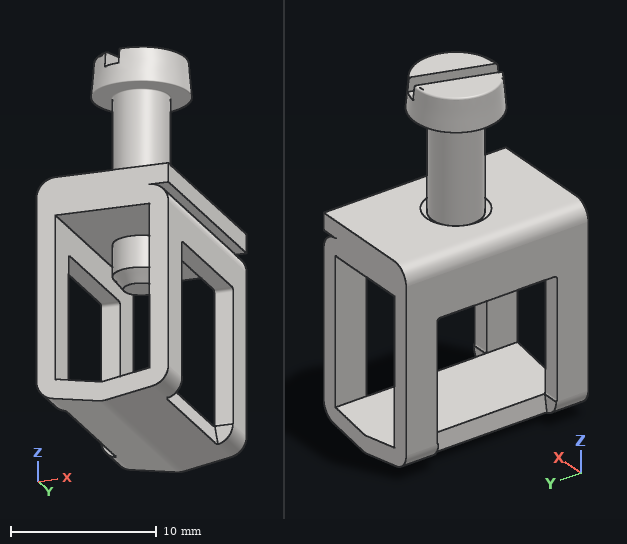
import cadquery as cq
import math

overall_height = 27.4

clamp_width = 9.7
clamp_length = 15.5
strip = 1.4
wall_height = 12.0
floor_slope = 10.0
crease_width = 0.08
window_width = 10.2
window_radius = 0.27
window_roof_above_wall_foot = 9.98
corner_rise = 0.069

shank_diameter = 4.0
shank_length = 13.98
tip_diameter = 2.52
tip_length = 0.9
head_diameter = 7.0
head_height = 2.65
head_taper = 5.0
head_top_radius = 0.2
head_rim_radius = 0.08
neck_radius = 0.08
slot_width = 1.2
slot_depth = 1.12
slot_angle = 18.0
countersink_diameter = 4.9
countersink_depth = 0.27

outer_x = clamp_width / 2
inner_x = outer_x - strip
floor_run = inner_x - crease_width / 2
floor_drop = floor_run * math.tan(math.radians(floor_slope))
wall_foot_z = floor_drop + strip
wall_top_z = wall_foot_z + wall_height
lap_z = wall_top_z + strip
clamp_top_z = lap_z + strip
window_roof_z = wall_foot_z + window_roof_above_wall_foot

corner_inset = window_radius - math.sqrt(window_radius**2 - (window_radius - corner_rise)**2)


def panel(x_min, x_max, z_min, z_max):
    """Flat stretch of the strip over the full clamp length."""
    return (
        cq.Workplane("XY")
        .box(x_max - x_min, clamp_length, z_max - z_min, centered=False)
        .translate((x_min, -clamp_length / 2, z_min))
    )


def bend_point(center, angle):
    """Point on the outside of a bend, at an angle counted from +X towards +Z."""
    turn = math.radians(angle)
    return (center[0] + strip * math.cos(turn), center[1] + strip * math.sin(turn))


def bend(x, z, start_angle, end_angle):
    """Bend of the strip: a sector about its sharp inner corner."""
    center = (x, z)
    return (
        cq.Workplane("XZ", origin=(0, clamp_length / 2, 0))
        .moveTo(*center)
        .lineTo(*bend_point(center, start_angle))
        .threePointArc(bend_point(center, (start_angle + end_angle) / 2), bend_point(center, end_angle))
        .close()
        .extrude(clamp_length)
    )


def sloping_floor():
    """Right half of the floor, falling towards the middle."""
    foot = (inner_x, wall_foot_z)
    crease = (crease_width / 2, strip)
    outward = floor_slope - 90
    return (
        cq.Workplane("XZ", origin=(0, clamp_length / 2, 0))
        .polyline([foot, bend_point(foot, outward), bend_point(crease, outward), crease])
        .close()
        .extrude(clamp_length)
    )


def wall_window():
    """Opening through both walls, whose lower corner arcs run on into the foot bends."""
    height = window_roof_above_wall_foot + corner_rise
    return (
        cq.Workplane("XY")
        .box(clamp_width, window_width, height, centered=(True, True, False))
        .edges("|X")
        .fillet(window_radius)
        .translate((0, 0, window_roof_z - height))
    )


def foot_bend_notch():
    """Lower end of the window in the right foot bend: square to the floor, closed by the corner arcs."""
    half_width = window_width / 2 - corner_inset
    half_edge = window_width / 2 - window_radius
    far_x = 2 * strip
    return (
        cq.Workplane("XY")
        .moveTo(0, -half_edge)
        .radiusArc((corner_rise, -half_width), -window_radius)
        .lineTo(far_x, -half_width)
        .lineTo(far_x, half_width)
        .lineTo(corner_rise, half_width)
        .radiusArc((0, half_edge), -window_radius)
        .close()
        .extrude(far_x, both=True)
        .rotate((0, 0, 0), (0, 1, 0), -floor_slope)
        .translate((inner_x, 0, wall_foot_z))
    )


def floor_half():
    """Right half of the floor with its foot bend and its bend at the central crease."""
    foot = bend(inner_x, wall_foot_z, floor_slope - 90, 0).cut(foot_bend_notch())
    crease = bend(crease_width / 2, strip, -90, floor_slope - 90)
    return sloping_floor().union(crease).union(foot)


def screw_bore():
    """Countersunk through hole that fits the shank."""
    shank_radius = shank_diameter / 2
    rim_radius = countersink_diameter / 2
    return (
        cq.Workplane("XZ")
        .polyline(
            [
                (0, wall_top_z),
                (shank_radius, wall_top_z),
                (shank_radius, clamp_top_z - countersink_depth),
                (rim_radius, clamp_top_z),
                (0, clamp_top_z),
            ]
        )
        .close()
        .revolve(360, (0, 0), (0, 1))
    )


def make_clamp():
    left_wall = panel(-outer_x, -inner_x, wall_foot_z, lap_z)
    right_wall = panel(inner_x, outer_x, wall_foot_z, wall_top_z)
    upper_lap = panel(-inner_x, outer_x, lap_z, clamp_top_z)
    lower_lap = panel(-inner_x, inner_x, wall_top_z, lap_z)
    walls = left_wall.union(right_wall).cut(wall_window())
    laps = upper_lap.union(lower_lap).cut(screw_bore())
    upper_bends = bend(-inner_x, lap_z, 90, 180).union(bend(inner_x, wall_top_z, 0, 90))
    crease = panel(-crease_width / 2, crease_width / 2, 0, strip)
    right_floor = floor_half()
    floor = crease.union(right_floor).union(right_floor.mirror("YZ"))
    return walls.union(laps).union(upper_bends).union(floor)


def make_screw():
    head_bottom_z = overall_height - head_height
    tip_z = head_bottom_z - shank_length
    shank_radius = shank_diameter / 2
    head_radius = head_diameter / 2
    head_top_edge = head_radius - head_height * math.tan(math.radians(head_taper))
    head = (
        cq.Workplane("XZ")
        .polyline(
            [
                (0, head_bottom_z),
                (head_radius, head_bottom_z),
                (head_top_edge, overall_height),
                (0, overall_height),
            ]
        )
        .close()
        .revolve(360, (0, 0), (0, 1))
        .faces(">Z")
        .edges()
        .fillet(head_top_radius)
        .faces("<Z")
        .edges()
        .fillet(head_rim_radius)
    )
    shank = (
        cq.Workplane("XZ")
        .polyline(
            [
                (0, tip_z),
                (tip_diameter / 2, tip_z),
                (shank_radius, tip_z + tip_length),
                (shank_radius, head_bottom_z - neck_radius),
            ]
        )
        .radiusArc((shank_radius + neck_radius, head_bottom_z), neck_radius)
        .lineTo(0, head_bottom_z)
        .close()
        .revolve(360, (0, 0), (0, 1))
    )
    slot = (
        cq.Workplane("XY")
        .box(slot_width, 2 * head_diameter, slot_depth, centered=(True, True, False))
        .rotate((0, 0, 0), (0, 0, 1), -slot_angle)
        .translate((0, 0, overall_height - slot_depth))
    )
    return head.union(shank).cut(slot)


clamp = make_clamp()
screw = make_screw()
result = cq.Compound.makeCompound([clamp.solids().val(), screw.solids().val()])